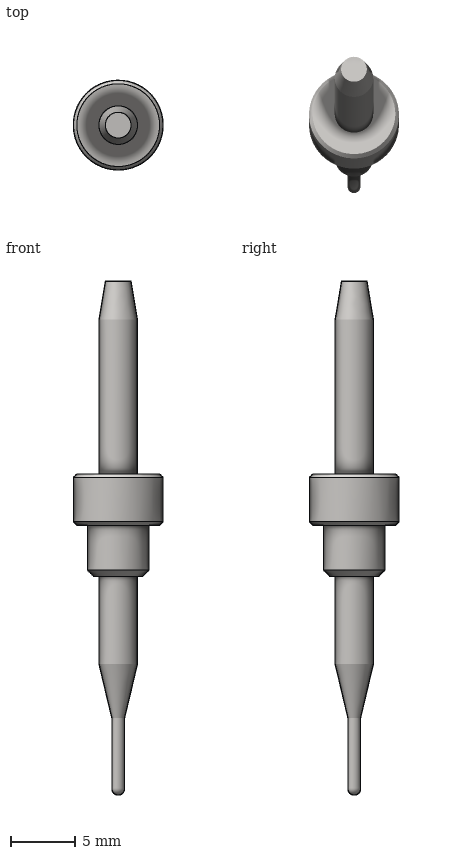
import cadquery as cq

total_height = 40.0
top_taper_height = 3.0
flange_top = 25.0
flange_height = 4.0
sleeve_height = 4.0
shank_bottom = 10.2
needle_top = 6.0

top_diameter = 2.0
shank_diameter = 3.0
needle_diameter = 1.0
flange_diameter = 7.0
sleeve_diameter = 4.8
top_radius = top_diameter / 2
shank_radius = shank_diameter / 2
needle_radius = needle_diameter / 2
flange_radius = flange_diameter / 2
sleeve_radius = sleeve_diameter / 2

flange_chamfer = 0.3
sleeve_chamfer = 0.5


def make_pin():
    """Stepped contact pin: tapered top, straight shank, cone and needle with a ball end."""
    return (
        cq.Workplane("XZ")
        .moveTo(0, 0)
        .radiusArc((needle_radius, needle_radius), -needle_radius)
        .lineTo(needle_radius, needle_top)
        .lineTo(shank_radius, shank_bottom)
        .lineTo(shank_radius, total_height - top_taper_height)
        .lineTo(top_radius, total_height)
        .lineTo(0, total_height)
        .close()
        .revolve(360, (0, 0), (0, 1))
    )


def make_collar():
    """Flanged bushing around the shank, with a narrower sleeve below the flange."""
    flange_bottom = flange_top - flange_height
    flange = (
        cq.Workplane("XY", origin=(0, 0, flange_bottom))
        .circle(flange_radius)
        .extrude(flange_height)
        .edges()
        .chamfer(flange_chamfer)
    )
    sleeve = (
        cq.Workplane("XY", origin=(0, 0, flange_bottom - sleeve_height))
        .circle(sleeve_radius)
        .extrude(sleeve_height)
        .faces("<Z")
        .edges()
        .chamfer(sleeve_chamfer)
    )
    bore = (
        cq.Workplane("XY", origin=(0, 0, flange_bottom - sleeve_height))
        .circle(shank_radius)
        .extrude(sleeve_height + flange_height)
    )
    return flange.union(sleeve).cut(bore)


pin = make_pin()
collar = make_collar()

result = cq.Compound.makeCompound([pin.val(), collar.val()])